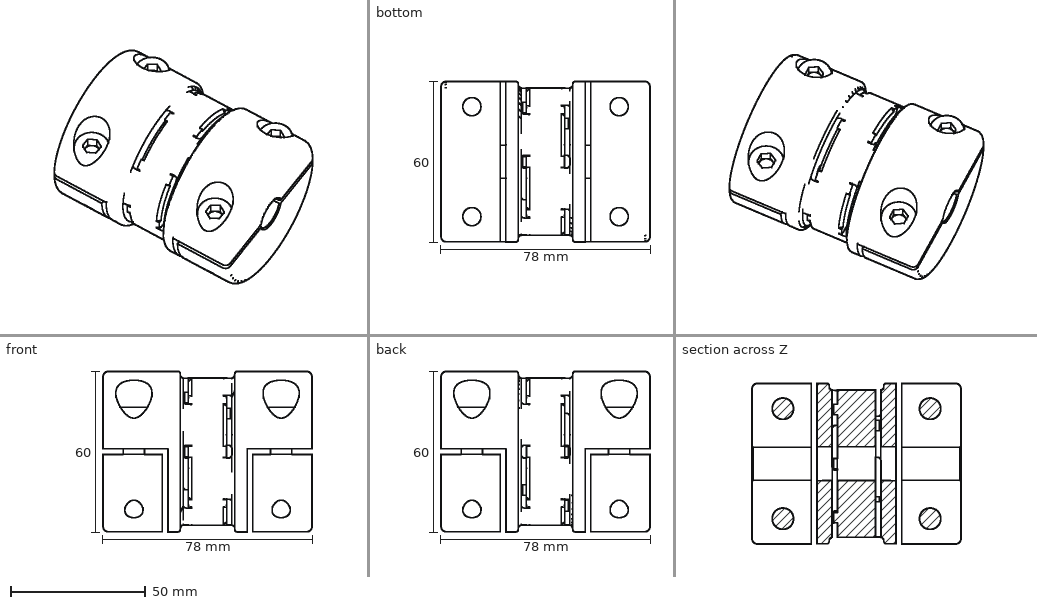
import cadquery as cq
import math

LENGTH = 78.0
BODY_RADIUS = 60.0 / 2
NECK_RADIUS = 55.0 / 2
END_ROUND = 2.0
BORE_RADIUS = 6.25
BORE_CHAMFER = 0.51
SHOULDER_X = 10.15
SHOULDER_ROUND = 0.9
SHOULDER_COVE = 1.1

GAP_INNER_X = 7.1
GAP_OUTER_X = 9.05
GAP_EDGE_ROUND = 1.2
GAP_CORE_RADIUS = 17.15
PAD_CORNER_ROUND = 1.95
GAP_ANGLE = 45.0
GAP_MARGIN = 2.35
GAP_COUNT = 4
RELIEF = 1.25
LAND_WIDTH = 4.05
PIN_DIAMETER = 4.0
PIN_CIRCLE_RADIUS = 20.2
PIN_LENGTH = 1.4

SLOT_WIDTH = 2.0
CLAMP_INNER_X = 16.85

SCREW_X = 27.45
SCREW_Y = 20.5
SHANK_DIAMETER = 8.0
CLEARANCE_DIAMETER = 8.6
TAP_DIAMETER = 6.8
COUNTERBORE_DIAMETER = 13.5
HEAD_DIAMETER = 13.0
HEAD_HEIGHT = 8.0
HEAD_TOP = 16.6
HEAD_ROUND = 0.6
SEAT_Z = HEAD_TOP - HEAD_HEIGHT
SHANK_END_Z = -11.7
HEX_ACROSS_FLATS = 6.0
HEX_DEPTH = 4.0
HEX_CONE_DEPTH = 1.55

REACH = BODY_RADIUS + 3.9


def cylinder_x(diameter, x_start, length, y=0.0, z=0.0):
    """Cylinder along +X starting at x_start."""
    return cq.Workplane("YZ", origin=(x_start, y, z)).circle(diameter / 2).extrude(length)


def cylinder_z(diameter, z_bottom, z_top):
    return cq.Workplane("XY", origin=(0, 0, z_bottom)).circle(diameter / 2).extrude(z_top - z_bottom)


def polar(radius, angle):
    """(Y, Z) of a point; angles run from -Y towards +Z."""
    turn = math.radians(angle)
    return -radius * math.cos(turn), radius * math.sin(turn)


def turned_body():
    half = LENGTH / 2
    arc = math.sqrt(0.5)
    hub_round_x = SHOULDER_X + SHOULDER_ROUND
    hub_round_r = BODY_RADIUS - SHOULDER_ROUND
    cove_x = SHOULDER_X - SHOULDER_COVE
    cove_r = NECK_RADIUS + SHOULDER_COVE
    end_round_x = half - END_ROUND
    end_round_r = BODY_RADIUS - END_ROUND
    right_half = (
        cq.Workplane("XY")
        .moveTo(0, BORE_RADIUS)
        .lineTo(0, NECK_RADIUS)
        .lineTo(cove_x, NECK_RADIUS)
        .threePointArc(
            (cove_x + SHOULDER_COVE * arc, cove_r - SHOULDER_COVE * arc),
            (SHOULDER_X, cove_r),
        )
        .lineTo(SHOULDER_X, hub_round_r)
        .threePointArc(
            (hub_round_x - SHOULDER_ROUND * arc, hub_round_r + SHOULDER_ROUND * arc),
            (hub_round_x, BODY_RADIUS),
        )
        .lineTo(end_round_x, BODY_RADIUS)
        .threePointArc(
            (end_round_x + END_ROUND * arc, end_round_r + END_ROUND * arc),
            (half, end_round_r),
        )
        .lineTo(half, BORE_RADIUS + BORE_CHAMFER)
        .lineTo(half - BORE_CHAMFER, BORE_RADIUS)
        .close()
        .revolve(360, (0, 0, 0), (1, 0, 0))
    )
    return right_half.union(right_half.mirror("YZ"), clean=True)


def gap_wedge(x_start, x_end):
    """Wedge from the 0 degree axis to the GAP_ANGLE axis, widened by GAP_MARGIN on both sides."""
    half_angle = GAP_ANGLE / 2
    apex_radius = GAP_MARGIN / math.sin(math.radians(half_angle))
    apex_y, apex_z = polar(-apex_radius, half_angle)
    side_length = 2 * REACH
    low_y, low_z = polar(side_length, 0)
    high_y, high_z = polar(side_length, GAP_ANGLE)
    return (
        cq.Workplane("YZ", origin=(x_start, 0, 0))
        .polyline([
            (apex_y, apex_z),
            (apex_y + low_y, apex_z + low_z),
            (apex_y + high_y, apex_z + high_z),
        ])
        .close()
        .extrude(x_end - x_start)
    )


def spacer_relief():
    """Chamfer of the spacer edge along one gap, leaving a land on each bounding axis."""
    ring = (
        cq.Workplane("XY")
        .polyline([
            (GAP_INNER_X - RELIEF, NECK_RADIUS),
            (GAP_INNER_X, NECK_RADIUS),
            (GAP_INNER_X, NECK_RADIUS - RELIEF),
        ])
        .close()
        .revolve(360, (0, 0, 0), (1, 0, 0))
    )
    relief = ring.intersect(gap_wedge(GAP_INNER_X - RELIEF, GAP_INNER_X))
    for angle in (0, GAP_ANGLE):
        land = cq.Workplane("XY").box(2 * RELIEF, REACH, LAND_WIDTH).translate((GAP_INNER_X, -REACH / 2, 0))
        relief = relief.cut(land.rotate((0, 0, 0), (1, 0, 0), -angle))
    return relief


def around_axis(shape):
    """Copies of a shape at every gap position around the X axis."""
    return [shape.rotate((0, 0, 0), (1, 0, 0), index * 360 / GAP_COUNT) for index in range(GAP_COUNT)]


def gap_cut():
    """All gaps of the +X side: wedges opening from a round core, with the spacer edge relieved."""
    cut = cylinder_x(2 * GAP_CORE_RADIUS, GAP_INNER_X, GAP_OUTER_X - GAP_INNER_X)
    for wedge in around_axis(gap_wedge(GAP_INNER_X, GAP_OUTER_X)):
        cut = cut.union(wedge)
    pad_corners = cq.selectors.BoxSelector(
        (GAP_INNER_X, -BODY_RADIUS, -BODY_RADIUS), (GAP_OUTER_X, BODY_RADIUS, BODY_RADIUS)
    )
    cut = cut.edges("|X").edges(pad_corners).fillet(PAD_CORNER_ROUND)
    cut = cut.faces(">X").edges().fillet(GAP_EDGE_ROUND)
    for relief in around_axis(spacer_relief()):
        cut = cut.union(relief)
    return cut


def spacer_pin():
    """Pin standing on the +X face of the spacer, on the upper axis of a gap."""
    y, z = polar(PIN_CIRCLE_RADIUS, GAP_ANGLE)
    return cylinder_x(PIN_DIAMETER, GAP_INNER_X, PIN_LENGTH, y, z)


def to_left_side(shape):
    """Carry a +X side feature to the -X side, one gap angle lower."""
    return shape.mirror("YZ").rotate((0, 0, 0), (1, 0, 0), GAP_ANGLE)


def add_gaps(body):
    cut = gap_cut()
    body = body.cut(cut).cut(to_left_side(cut))
    pin = spacer_pin()
    for side_pin in (pin, to_left_side(pin)):
        for placed_pin in around_axis(side_pin):
            body = body.union(placed_pin)
    return body


def clamp_slot():
    """L-shaped cut that frees the lower clamp half of the +X hub."""
    slot_end_x = CLAMP_INNER_X - SLOT_WIDTH
    split = cq.Workplane("XY").box(REACH, 2 * REACH, SLOT_WIDTH, centered=(False, True, True))
    drop = cq.Workplane("XY").box(SLOT_WIDTH, 2 * REACH, REACH, centered=(False, True, False))
    drop = drop.translate((0, 0, -REACH))
    return split.union(drop).translate((slot_end_x, 0, 0))


def screw_hole():
    counterbore = cylinder_z(COUNTERBORE_DIAMETER, SEAT_Z, REACH)
    clearance = cylinder_z(CLEARANCE_DIAMETER, 0, SEAT_Z)
    tapped = cylinder_z(TAP_DIAMETER, -REACH, 0)
    return counterbore.union(clearance).union(tapped)


def screw():
    head = cylinder_z(HEAD_DIAMETER, SEAT_Z, HEAD_TOP).faces(">Z").edges().fillet(HEAD_ROUND)
    hex_corners = HEX_ACROSS_FLATS / math.cos(math.pi / 6)
    socket_floor = HEAD_TOP - HEX_DEPTH
    socket = (
        cq.Workplane("XY", origin=(0, 0, socket_floor))
        .transformed(rotate=(0, 0, 90))
        .polygon(6, hex_corners)
        .extrude(HEX_DEPTH)
    )
    cone = cq.Workplane("XY").add(
        cq.Solid.makeCone(
            HEX_ACROSS_FLATS / 2, 0, HEX_CONE_DEPTH,
            pnt=cq.Vector(0, 0, socket_floor), dir=cq.Vector(0, 0, -1),
        )
    )
    shank = cylinder_z(SHANK_DIAMETER, SHANK_END_Z, SEAT_Z)
    return head.union(shank).cut(socket).cut(cone)


def add_clamps(body):
    slot = clamp_slot()
    body = body.cut(slot).cut(slot.mirror("YZ"))
    hole = screw_hole()
    fastener = screw()
    places = [(x, y, 0) for x in (-SCREW_X, SCREW_X) for y in (-SCREW_Y, SCREW_Y)]
    for place in places:
        body = body.cut(hole.translate(place)).union(fastener.translate(place))
    return body


result = add_clamps(add_gaps(turned_body()))